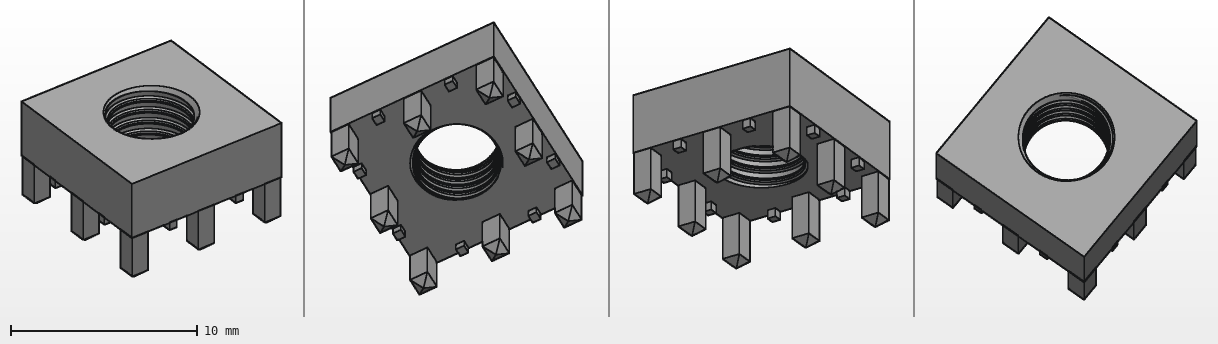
import cadquery as cq
import math

body_side = 10.0
body_height = 3.5

pin_side = 1.07
pin_pitch = 4.43
pin_straight_length = 2.5
pin_point_height = 0.5

standoff_side = 0.5
standoff_height = 0.5
standoff_spread = pin_pitch / 2
standoff_reach = pin_pitch + (pin_side - standoff_side) / 2

bore_radius = 2.29
countersink_radius = 2.59
countersink_depth = countersink_radius - bore_radius

thread_pitch = 0.7
thread_root_radius = 2.5
thread_root_width = 0.31
thread_crest_width = 0.06
thread_bevel_radius = 2.36
thread_flank_slope = math.tan(math.radians(30))
thread_turns = 7
thread_start_angle = 45.0
thread_top_drop = 0.64
cutter_overlap = 0.02


def make_body():
    return cq.Workplane("XY").box(body_side, body_side, body_height, centered=(True, True, False))


def make_pin(x, y):
    shank = cq.Workplane("XY").center(x, y).rect(pin_side, pin_side).extrude(-pin_straight_length)
    half = pin_side / 2
    corners = [
        cq.Vector(x + dx, y + dy, -pin_straight_length)
        for dx, dy in ((-half, -half), (half, -half), (half, half), (-half, half))
    ]
    tip = cq.Vector(x, y, -pin_straight_length - pin_point_height)
    faces = [cq.Face.makeFromWires(cq.Wire.makePolygon(corners, close=True))]
    for first, second in zip(corners, corners[1:] + corners[:1]):
        faces.append(cq.Face.makeFromWires(cq.Wire.makePolygon([first, second, tip], close=True)))
    point = cq.Solid.makeSolid(cq.Shell.makeShell(faces))
    return shank.union(cq.Workplane(obj=point))


def make_standoff(x, y):
    return cq.Workplane("XY").center(x, y).rect(standoff_side, standoff_side).extrude(-standoff_height)


def make_bore():
    """Cylinder with the countersink cone on top, turned about Z."""
    return (
        cq.Workplane("XZ")
        .polyline(
            [
                (0, 0),
                (bore_radius, 0),
                (bore_radius, body_height - countersink_depth),
                (countersink_radius, body_height),
                (0, body_height),
            ]
        )
        .close()
        .revolve(360, (0, 0, 0), (0, 1, 0))
    )


def make_thread_cutter():
    """Solid swept along a helix by the groove section, ruled between the section's corners."""
    half_root = thread_root_width / 2
    half_flank = half_root + (thread_root_radius - thread_bevel_radius) * thread_flank_slope
    half_bore = (thread_pitch - thread_crest_width) / 2
    bevel_slope = (half_bore - half_flank) / (thread_bevel_radius - bore_radius)
    half_mouth = half_bore + cutter_overlap * bevel_slope
    upper_corners = [
        (thread_root_radius, half_root),
        (thread_bevel_radius, half_flank),
        (bore_radius - cutter_overlap, half_mouth),
    ]
    section = [(radius, -height) for radius, height in reversed(upper_corners)] + upper_corners
    rise = thread_turns * thread_pitch
    helices = [
        cq.Wire.makeHelix(thread_pitch, rise, radius).translate(cq.Vector(0, 0, height))
        for radius, height in section
    ]
    faces = [
        cq.Face.makeRuledSurface(first, second)
        for first, second in zip(helices, helices[1:] + helices[:1])
    ]
    for level in (0, rise):
        outline = [cq.Vector(radius, 0, level + height) for radius, height in section]
        faces.append(cq.Face.makeFromWires(cq.Wire.makePolygon(outline, close=True)))
    cutter = cq.Workplane(obj=cq.Solid.makeSolid(cq.Shell.makeShell(faces)))
    base = body_height - thread_top_drop - (thread_turns - 1) * thread_pitch
    return cutter.rotate((0, 0, 0), (0, 0, 1), thread_start_angle).translate((0, 0, base))


result = make_body()

pin_rows = (-pin_pitch, 0, pin_pitch)
for x in pin_rows:
    for y in pin_rows:
        if (x, y) != (0, 0):
            result = result.union(make_pin(x, y))

for side in (-standoff_reach, standoff_reach):
    for along in (-standoff_spread, standoff_spread):
        result = result.union(make_standoff(side, along))
        result = result.union(make_standoff(along, side))

result = result.cut(make_thread_cutter()).cut(make_bore())